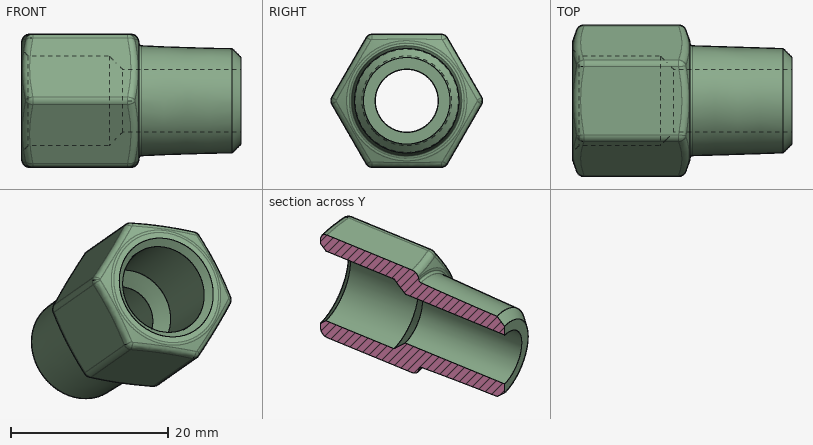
import cadquery as cq
import math

total_length = 28.0
hex_length = 15.0

across_flats = 17.0
edge_radius = 0.98
face_radius = 7.5
end_cone_angle = 20.0
rim_radius = edge_radius

taper_ratio = 1 / 16
spigot_root_radius = 7.03
root_fillet = 0.3
tip_chamfer_length = 1.15
tip_radius = 5.52

bore_radius = 5.7
bore_mouth_radius = 6.58
bore_cone_angle = 45.0
bore_depth = 11.2
passage_radius = 4.0


def revolve_about_x(points):
    """Solid of revolution about X from (x, radius) points."""
    return cq.Workplane("XY").polyline(points).close().revolve(360, (0, 0, 0), (1, 0, 0))


def make_hexagon():
    """Hexagonal prism with corners on Y, turned to a cone at both ends and rounded."""
    corner_diameter = across_flats / math.cos(math.pi / 6)
    prism = cq.Workplane("YZ").polygon(6, corner_diameter).extrude(hex_length)
    prism = prism.edges("|X").fillet(edge_radius)

    envelope_radius = corner_diameter
    cone_depth = (envelope_radius - face_radius) * math.tan(math.radians(end_cone_angle))
    envelope = revolve_about_x(
        [
            (0, 0),
            (0, face_radius),
            (cone_depth, envelope_radius),
            (hex_length - cone_depth, envelope_radius),
            (hex_length, face_radius),
            (hex_length, 0),
        ]
    )
    envelope = envelope.edges("<X or >X").fillet(rim_radius)
    turned = prism.intersect(envelope)
    return turned.faces("%CONE").edges("not %CIRCLE").fillet(edge_radius)


def make_spigot():
    """Tapered male end with a chamfered tip, starting inside the hexagon."""
    chamfer_start = total_length - tip_chamfer_length
    chamfer_start_radius = spigot_root_radius - (chamfer_start - hex_length) * taper_ratio / 2
    return revolve_about_x(
        [
            (hex_length / 2, 0),
            (hex_length / 2, spigot_root_radius),
            (hex_length, spigot_root_radius),
            (chamfer_start, chamfer_start_radius),
            (total_length, tip_radius),
            (total_length, 0),
        ]
    )


def make_bore():
    """Chamfered bore with a conical end, opening into the through passage."""
    mouth_depth = (bore_mouth_radius - bore_radius) / math.tan(math.radians(bore_cone_angle))
    end_depth = (bore_radius - passage_radius) / math.tan(math.radians(bore_cone_angle))
    return revolve_about_x(
        [
            (0, 0),
            (0, bore_mouth_radius),
            (mouth_depth, bore_radius),
            (bore_depth, bore_radius),
            (bore_depth + end_depth, passage_radius),
            (total_length, passage_radius),
            (total_length, 0),
        ]
    )


def is_spigot_root(edge):
    """True for the circle where the spigot leaves the flat end of the hexagon."""
    tolerance = 0.0003
    return (
        edge.geomType() == "CIRCLE"
        and abs(edge.Center().x - hex_length) < tolerance
        and abs(edge.radius() - spigot_root_radius) < tolerance
    )


body = make_hexagon().union(make_spigot())
body = body.edges().filter(is_spigot_root).fillet(root_fillet)
result = body.cut(make_bore())